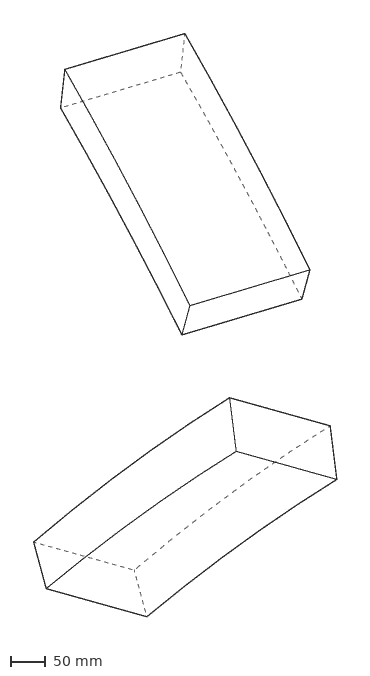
import cadquery as cq

length = 454.0
width = 190.5
height = 183.0

left_end_run = 15.0
left_end_drop = 86.2
right_end_run = 28.0
right_end_drop = 79.0

top_bow = 8.5
bottom_bow = 7.5

top_left = (left_end_run, height)
top_right = (length, right_end_drop)
bottom_right = (length - right_end_run, 0)
bottom_left = (0, height - left_end_drop)


def bowed_midpoint(start, end, bow):
    """Return the chord midpoint raised by the bow."""
    return ((start[0] + end[0]) / 2, (start[1] + end[1]) / 2 + bow)


result = (
    cq.Workplane("XZ")
    .moveTo(*top_left)
    .threePointArc(bowed_midpoint(top_left, top_right, top_bow), top_right)
    .lineTo(*bottom_right)
    .threePointArc(bowed_midpoint(bottom_right, bottom_left, bottom_bow), bottom_left)
    .close()
    .extrude(width / 2, both=True)
)